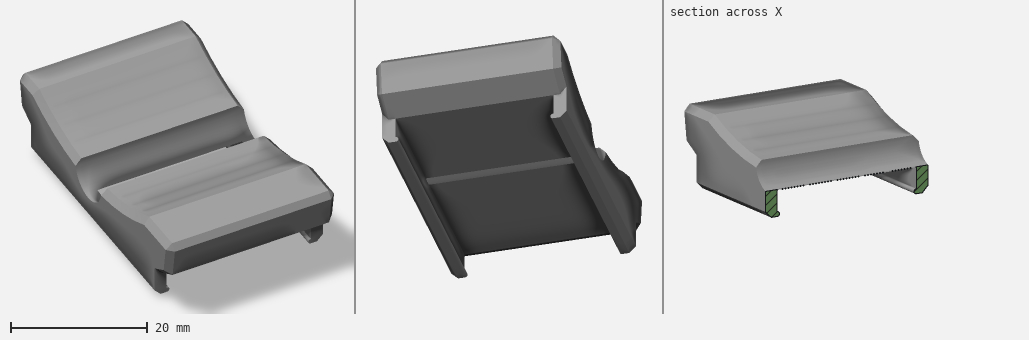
import cadquery as cq
import math

depth = 28.0
height = 12.0
bevel = 1.0
top_half_width = 23.665
shoulder_half_width = 22.8
shoulder_z = 6.15

leg_half_length = 19.1
leg_height = 4.0
leg_thickness = 2.0
leg_embed = 2.0
bead_radius = 0.4
bead_offset = 0.05

saddle_x = -1.4
saddle_radius = 37.5
saddle_half_width = 17.0
groove_radius = 4.0
groove_overcut = 0.1

half_depth = depth / 2


def cylinder_along_y(x, z, radius):
    """Cylinder along Y, running the full depth of the part."""
    return cq.Workplane("XZ", origin=(x, half_depth, z)).circle(radius).extrude(depth)


def make_body():
    """Body with a shallow saddle across its top, bevelled around its ends and outer rim."""
    outline = [
        (-leg_half_length, leg_height),
        (leg_half_length, leg_height),
        (shoulder_half_width, shoulder_z),
        (top_half_width, height),
        (-top_half_width, height),
        (-shoulder_half_width, shoulder_z),
    ]
    block = cq.Workplane("XZ", origin=(0, half_depth, 0)).polyline(outline).close().extrude(depth)

    saddle_axis_z = height + math.sqrt(saddle_radius**2 - saddle_half_width**2)
    block = block.cut(cylinder_along_y(saddle_x, saddle_axis_z, saddle_radius))

    outer_rim = block.edges("|Y").edges("<X or >X")
    return block.faces("<Y or >Y").edges().add(outer_rim).chamfer(bevel)


def make_leg(side):
    """Leg along one end (side = -1 or 1), with a snap bead inside its foot."""
    outer_y = side * half_depth
    inner_y = side * (half_depth - leg_thickness)
    leg_top = leg_height + leg_embed
    section = [
        (inner_y, 0),
        (outer_y - side * bevel, 0),
        (outer_y, bevel),
        (outer_y, leg_top),
        (inner_y, leg_top),
    ]
    end_plane = cq.Workplane("YZ", origin=(-leg_half_length, 0, 0))
    leg = end_plane.polyline(section).close().extrude(2 * leg_half_length)

    bead_y = inner_y - side * bead_offset
    bead_plane = cq.Workplane("YZ", origin=(-leg_half_length, bead_y, bead_radius))
    bead = bead_plane.circle(bead_radius).extrude(2 * leg_half_length)
    return leg.union(bead)


def make_groove():
    """Round groove that breaks through the underside as a narrow slot between the legs."""
    groove_axis_z = leg_height - groove_overcut + groove_radius
    return cylinder_along_y(saddle_x, groove_axis_z, groove_radius)


result = make_body()
for end in (-1, 1):
    result = result.union(make_leg(end))
result = result.cut(make_groove())